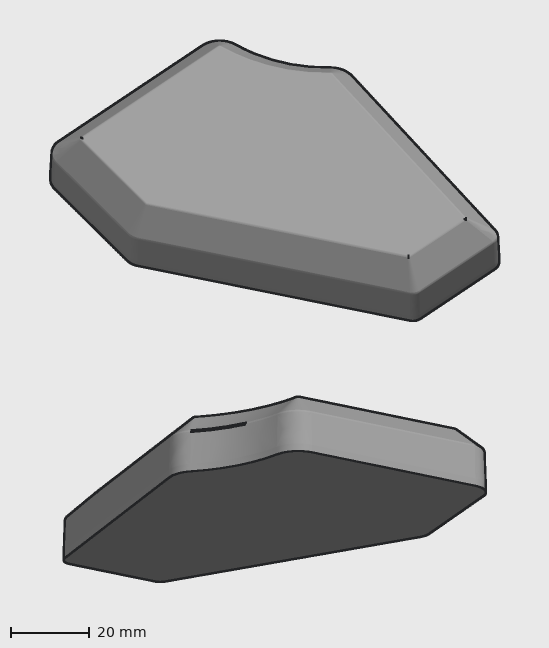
import cadquery as cq
import math

length = 95.2
height = 17.8
left_x = -length / 2
right_x = length / 2

front_y = -38.0
diagonal_start_x = -12.0
diagonal_slope = math.tan(math.radians(36.7))
back_y_at_center = 37.3
back_slope = -math.tan(math.radians(2.4))
notch_x = -53.2
notch_y = 59.8
notch_radius = 40.0

front_corner_radius = 5.0
right_corner_radius = 3.0
notch_corner_radius = 7.5
base_radii = [front_corner_radius] * 2 + [right_corner_radius] * 2 + [notch_corner_radius] * 2

foot_height = 2.0
bevel_height = 6.6
draft_angle = 2.0
top_corner_radius = 0.5
shoulder_round = 0.9
top_round = 0.8

shoulder_z = height - bevel_height
shoulder_inset = (shoulder_z - foot_height) * math.tan(math.radians(draft_angle))
top_inset = shoulder_inset + bevel_height


def outline_corners(inset):
    """Sharp corners of the outline moved inward, counterclockwise from the front left."""
    left = left_x + inset
    right = right_x - inset
    front = front_y + inset
    radius = notch_radius + inset

    def back_y(x):
        return back_y_at_center + back_slope * x - inset * math.hypot(1, back_slope)

    shift = (math.hypot(1, diagonal_slope) - 1) / diagonal_slope * inset
    diagonal_x = diagonal_start_x - shift

    drop = back_y(notch_x) - notch_y
    square_term = 1 + back_slope**2
    root = math.sqrt(square_term * radius**2 - drop**2)
    notch_back_x = notch_x + (root - back_slope * drop) / square_term

    return [
        (left, front),
        (diagonal_x, front),
        (right, front + diagonal_slope * (right - diagonal_x)),
        (right, back_y(right)),
        (notch_back_x, back_y(notch_back_x)),
        (left, notch_y - math.sqrt(radius**2 - (left - notch_x) ** 2)),
    ]


def notch_middle(inset, start, end):
    """Point of the notch arc halfway between its two ends."""
    radius = notch_radius + inset
    start_angle = math.atan2(start[1] - notch_y, start[0] - notch_x)
    end_angle = math.atan2(end[1] - notch_y, end[0] - notch_x)
    angle = (start_angle + end_angle) / 2
    return (notch_x + radius * math.cos(angle), notch_y + radius * math.sin(angle))


def section(z, inset, radii):
    """Closed outline at height z, moved inward by inset, with one radius per corner."""
    corners = outline_corners(inset)
    notch_start, notch_end = corners[-2:]
    wire = (
        cq.Workplane("XY")
        .polyline(corners[:-1])
        .threePointArc(notch_middle(inset, notch_start, notch_end), notch_end)
        .close()
        .val()
    )
    for corner, radius in zip(corners, radii):
        point = cq.Vector(*corner)
        nearest = min(wire.Vertices(), key=lambda vertex: (vertex.Center() - point).Length)
        wire = wire.fillet2D(radius, [nearest])
    return wire.moved(cq.Location(cq.Vector(0, 0, z)))


def edges_at(body, z):
    """Edges of the body lying in the horizontal plane at height z."""
    margin = 0.01
    low = (-length, -length, z - margin)
    high = (length, length, z + margin)
    return body.edges(cq.selectors.BoxSelector(low, high))


shoulder_radii = [radius - shoulder_inset for radius in base_radii]
top_radii = [top_corner_radius] * len(base_radii)
sections = [
    section(0, 0, base_radii),
    section(foot_height, 0, base_radii),
    section(shoulder_z, shoulder_inset, shoulder_radii),
    section(height, top_inset, top_radii),
]
body = cq.Workplane(cq.Solid.makeLoft(sections, True))

body = edges_at(body, shoulder_z).fillet(shoulder_round)
body = edges_at(body, height).fillet(top_round)

result = body